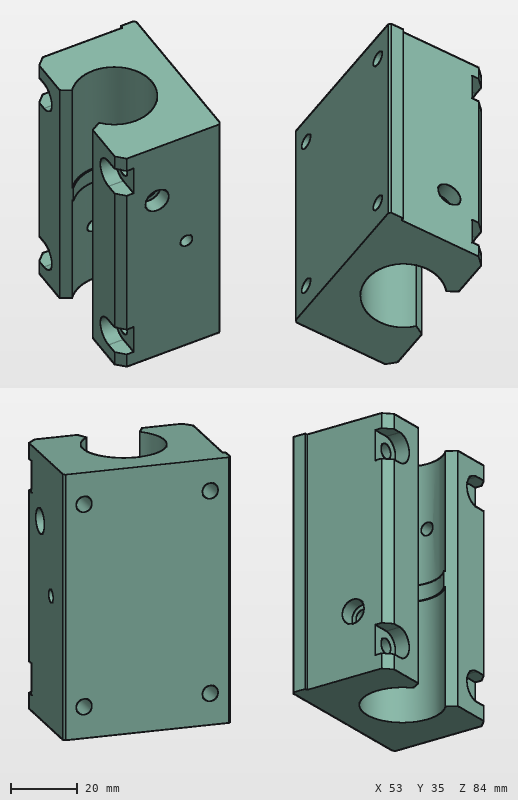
import cadquery as cq
import math

length = 84.0
width = 53.0
depth = 35.0
front_y = -13.1
back_y = front_y + depth
front_chamfer = 2.7
back_corner_chamfer = 0.7

lip_height = 4.95
lip_projection = 0.9

bore_radius = 12.9
ring_radius = 12.5
ring_length = 5.2
slot_mouth_half_width = 10.25
slot_flank_angle = 30.0

mount_hole_diameter = 4.95
mount_pocket_diameter = 10.0
mount_pocket_depth = 5.0
mount_x = 20.0
mount_z = 32.0

screw_z = 20.6
screw_bore_diameter = 8.0
screw_bore_depth = 5.0
screw_hole_diameter = 4.95
screw_hole_depth = 8.4
screw_tip_diameter = 4.3

oil_hole_diameter = 4.1
oil_hole_y = 10.1

side_x = width / 2


def cylinder(diameter, start, direction, height):
    """Solid cylinder from a start point along a direction."""
    return cq.Workplane(cq.Solid.makeCylinder(diameter / 2, height, cq.Vector(*start), cq.Vector(*direction)))


def make_block():
    body_left_x = -side_x + lip_projection
    outline = [
        (-side_x, back_y),
        (-side_x, back_y - lip_height),
        (body_left_x, back_y - lip_height),
        (body_left_x, front_y + front_chamfer),
        (body_left_x + front_chamfer, front_y),
        (side_x - front_chamfer, front_y),
        (side_x, front_y + front_chamfer),
        (side_x, back_y),
    ]
    block = cq.Workplane("XY").polyline(outline).close().extrude(length / 2, both=True)
    return block.edges("|Z and >Y").chamfer(back_corner_chamfer)


def opening(radius, height):
    """Round bore joined to a slot that widens toward the front face."""
    slope = math.tan(math.radians(slot_flank_angle))
    throat_half_width = slot_mouth_half_width + front_y * slope
    slot = (
        cq.Workplane("XY")
        .polyline([
            (-throat_half_width, 0),
            (throat_half_width, 0),
            (slot_mouth_half_width, front_y),
            (-slot_mouth_half_width, front_y),
        ])
        .close()
        .extrude(height / 2, both=True)
    )
    return cq.Workplane("XY").circle(radius).extrude(height / 2, both=True).union(slot)


def bore_cut():
    ring_space = (
        cq.Workplane("XY")
        .circle(bore_radius)
        .circle(ring_radius)
        .extrude(ring_length / 2, both=True)
    )
    ring_space = ring_space.cut(opening(ring_radius, length))
    return opening(bore_radius, length).cut(ring_space)


def mount_cut(side, z):
    pocket_floor_y = front_y + mount_pocket_depth
    hole = cylinder(mount_hole_diameter, (side * mount_x, front_y, z), (0, 1, 0), depth)
    round_end = cylinder(mount_pocket_diameter, (side * mount_x, front_y, z), (0, 1, 0), mount_pocket_depth)
    run_out = side_x - mount_x
    open_end = cq.Workplane("XY").box(run_out, mount_pocket_depth, mount_pocket_diameter).translate(
        (side * (mount_x + run_out / 2), pocket_floor_y - mount_pocket_depth / 2, z)
    )
    return hole.union(round_end).union(open_end)


def screw_cut(side):
    face_x = side_x if side > 0 else side_x - lip_projection
    start = (side * face_x, 0, side * screw_z)
    inward = (-side, 0, 0)
    tip = cylinder(screw_tip_diameter, start, inward, face_x)
    hole = cylinder(screw_hole_diameter, start, inward, screw_hole_depth)
    head = cylinder(screw_bore_diameter, start, inward, screw_bore_depth)
    return tip.union(hole).union(head)


result = make_block().cut(bore_cut())
for side in (-1, 1):
    result = result.cut(screw_cut(side))
    for z in (-mount_z, mount_z):
        result = result.cut(mount_cut(side, z))
result = result.cut(cylinder(oil_hole_diameter, (side_x, oil_hole_y, 0), (-1, 0, 0), side_x))